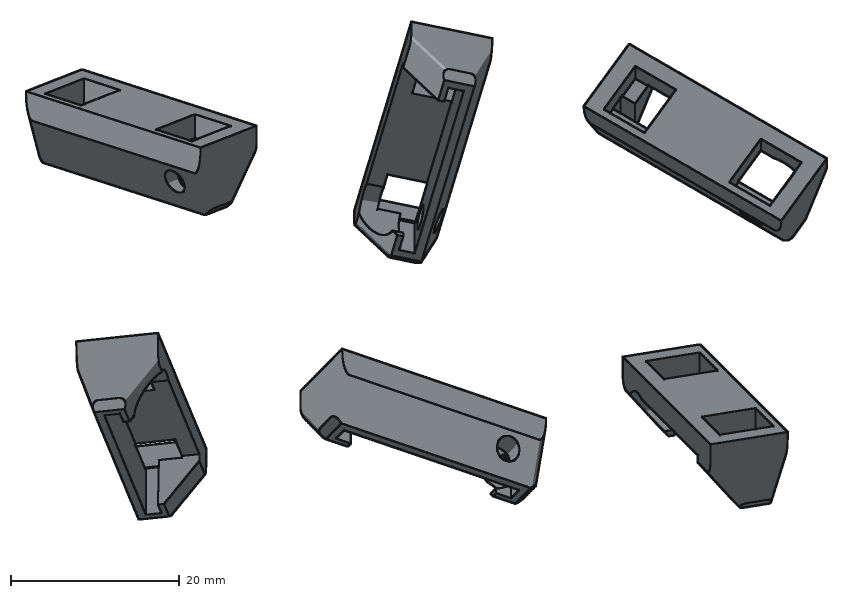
import cadquery as cq

length = 28.0
width = 9.9
height = 9.38
edge_size = 1.0

front_slope_top_z = -3.5
front_bottom_y = -3.02
rear_slope_top_z = -3.98
rear_bottom_y = 0.67

window_length = 5.75
window_outer_x = 11.75
window_front_y = -4.0
window_rear_y = 2.85
roof_thickness = 3.05
window_depth = 3.28
front_wall_y = -1.95
end_wall_x = 12.0

block_inner_x = 9.97
block_front_top_y = 0.05
block_front_bottom_y = -0.05

hole_x = 9.2
hole_z = -5.75
hole_diameter = 3.0
bore_diameter = 2 * hole_diameter
bore_start_y = block_front_bottom_y


def make_body():
    """Wedge with rounded end edges, trimmed to the rectangular envelope."""
    front_run = (front_bottom_y + width / 2) / (height + front_slope_top_z)
    rear_run = (width / 2 - rear_bottom_y) / (height + rear_slope_top_z)
    wedge = (
        cq.Workplane("YZ")
        .polyline([
            (front_bottom_y - front_run * height, 0),
            (front_bottom_y, -height),
            (rear_bottom_y, -height),
            (rear_bottom_y + rear_run * height, 0),
        ])
        .close()
        .extrude(length / 2, both=True)
    )
    sloping_edges = wedge.edges("not(|X or |Y)")
    wedge = wedge.newObject(sloping_edges.vals()).fillet(edge_size)
    end_profile = (
        cq.Workplane("XZ")
        .rect(length, 2 * height)
        .extrude(width / 2, both=True)
        .edges("|Y and <Z")
        .chamfer(edge_size)
    )
    return wedge.intersect(end_profile)


def box_between(x_range, y_range, z_range):
    """Box spanning the given low and high limits along each axis."""
    sizes = [high - low for low, high in (x_range, y_range, z_range)]
    corner = (x_range[0], y_range[0], z_range[0])
    return cq.Workplane("XY").box(*sizes, centered=False).translate(corner)


def make_window(side):
    """Window cutter; side is -1 for the left end and +1 for the right end."""
    outer_x = side * window_outer_x
    inner_x = outer_x - side * window_length
    x_range = sorted((outer_x, inner_x))
    return box_between(x_range, (window_front_y, window_rear_y), (-window_depth, 0))


def make_hollow():
    """Hollow behind the front wall: full length in front, narrower between the rear blocks."""
    front_slot = (
        cq.Workplane("YZ")
        .polyline([
            (front_wall_y, -roof_thickness),
            (block_front_top_y, -roof_thickness),
            (block_front_bottom_y, -height),
            (front_wall_y, -height),
        ])
        .close()
        .extrude(end_wall_x, both=True)
    )
    rear_gap = box_between(
        (-block_inner_x, block_inner_x),
        (block_front_bottom_y, width / 2),
        (-height, -roof_thickness),
    )
    return front_slot.union(rear_gap)


def make_cylinder(diameter, start_y, end_y):
    """Cylinder along Y on the cross hole axis."""
    return (
        cq.Workplane("XZ", origin=(hole_x, start_y, hole_z))
        .circle(diameter / 2)
        .extrude(start_y - end_y)
    )


result = make_body().cut(make_hollow())
for end_side in (-1, 1):
    result = result.cut(make_window(end_side))
result = result.cut(make_cylinder(hole_diameter, -width / 2, width / 2))
result = result.cut(make_cylinder(bore_diameter, bore_start_y, width / 2))